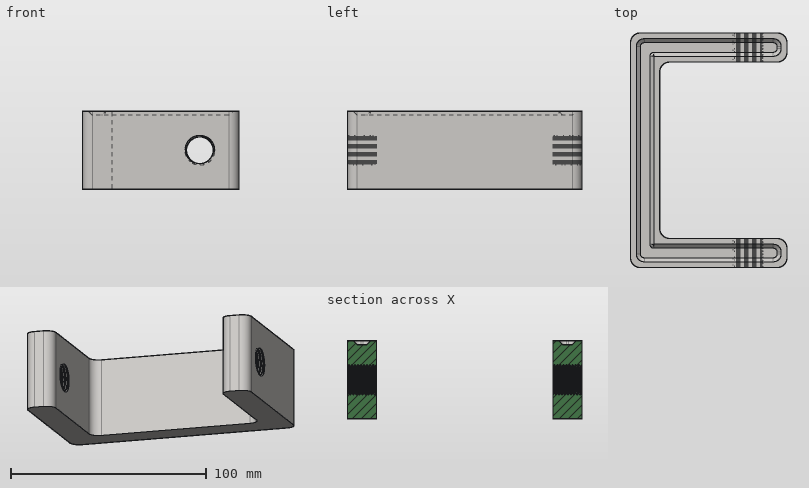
import cadquery as cq
import math

length_x = 80.0
length_y = 120.0
height = 40.0
wall = 15.0
corner_radius = 5.0

groove_margin = 3.0
groove_depth = 2.0
groove_slope = 45
groove_corner_radius = 4.1

hole_end_distance = 20.0
minor_diameter = 13.5
major_diameter = 15.2
thread_pitch = 1.5
thread_half_angle = 30
thread_start_angle = 225
root_flat = thread_pitch / 8
bore_overlap = 0.1

top_z = height / 2
hole_x = length_x / 2 - hole_end_distance


def c_prism(margin, end_radius, inside_radius):
    """C-shaped block hanging below the top face, every side pulled in by the margin."""
    back = -length_x / 2 + margin
    tip = length_x / 2 - margin
    side = length_y / 2 - margin
    inside_back = -length_x / 2 + wall - margin
    inside_side = length_y / 2 - wall + margin
    block = (
        cq.Workplane("XY", origin=(0, 0, top_z))
        .polyline([
            (back, side),
            (tip, side),
            (tip, inside_side),
            (inside_back, inside_side),
            (inside_back, -inside_side),
            (tip, -inside_side),
            (tip, -side),
            (back, -side),
        ])
        .close()
        .extrude(-height)
    )
    block = block.edges("|Z and (<X or >X)").fillet(end_radius)
    if inside_radius > 0:
        for corner_y in (-inside_side, inside_side):
            corner = cq.selectors.NearestToPointSelector((inside_back, corner_y, 0))
            block = block.edges(corner).fillet(inside_radius)
    return block


def make_groove():
    """Groove whose floor is narrower than its mouth on the top face."""
    mouth = c_prism(groove_margin, groove_corner_radius, inside_radius=0).faces(">Z").wires().vals()
    return (
        cq.Workplane("XY", origin=(0, 0, top_z))
        .add(mouth)
        .toPending()
        .extrude(-groove_depth, taper=groove_slope)
    )


def make_thread():
    """Right-handed helical V cutter along +Z, one pitch longer than the wall at both ends."""
    minor_radius = minor_diameter / 2
    major_radius = major_diameter / 2
    inner_reach = minor_radius - bore_overlap
    root_half = root_flat / 2
    flank_width = (major_radius - inner_reach) * math.tan(math.radians(thread_half_angle))
    mouth_half = root_half + flank_width
    helix = cq.Wire.makeHelix(thread_pitch, wall + 2 * thread_pitch, minor_radius)
    ridge = (
        cq.Workplane("XZ")
        .polyline([
            (inner_reach, -mouth_half),
            (major_radius, -root_half),
            (major_radius, root_half),
            (inner_reach, mouth_half),
        ])
        .close()
        .sweep(helix, isFrenet=True)
    )
    return ridge.translate((0, 0, -thread_pitch))


def cut_threaded_hole(body, start_y):
    """Cut one arm's thread and then its bore, both running towards +Y."""
    thread = make_thread().rotate((0, 0, 0), (0, 0, 1), thread_start_angle)
    bore = (
        cq.Workplane("XY", origin=(0, 0, -thread_pitch))
        .circle(minor_diameter / 2)
        .extrude(wall + 2 * thread_pitch)
    )
    for cutter in (thread, bore):
        placed = cutter.rotate((0, 0, 0), (1, 0, 0), -90).translate((hole_x, start_y, 0))
        body = body.cut(placed)
    return body


result = c_prism(margin=0, end_radius=corner_radius, inside_radius=corner_radius)
result = result.cut(make_groove())
for arm_start in (-length_y / 2, length_y / 2 - wall):
    result = cut_threaded_hole(result, arm_start)